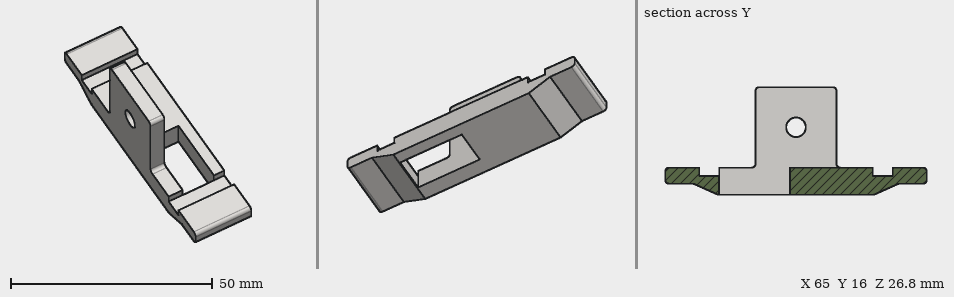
import cadquery as cq

length = 65.0
depth = 16.0
height = 26.8

plate_thickness = 4.0
keel_depth = 2.7
keel_top_width = 50.95
keel_bottom_width = 38.75
plate_top = keel_depth + plate_thickness
end_radius = 1.0

groove_width = 4.9
groove_depth = 2.1
groove_inner_x = 19.1

tab_width = 20.15
tab_thickness = 4.0
tab_corner_radius = 1.0
tab_root_radius = 1.0
hole_diameter = 4.8
hole_below_top = 10.0

window_left_x = 1.5
window_back_wall = 3.0


def make_base():
    """Plate with rounded ends, carrying the keel; front face at y = 0."""
    plate = (
        cq.Workplane("XY")
        .box(length, depth, plate_thickness, centered=(True, False, False))
        .translate((0, 0, keel_depth))
        .edges("|Y")
        .fillet(end_radius)
    )
    keel = (
        cq.Workplane("XZ")
        .moveTo(-keel_bottom_width / 2, 0)
        .lineTo(keel_bottom_width / 2, 0)
        .lineTo(keel_top_width / 2, keel_depth)
        .lineTo(-keel_top_width / 2, keel_depth)
        .close()
        .extrude(-depth)
    )
    return plate.union(keel)


def add_tab(base):
    """Upright tab with rounded top corners and small fillets at its root."""
    tab = (
        cq.Workplane("XY")
        .box(tab_width, tab_thickness, height - keel_depth, centered=(True, False, False))
        .translate((0, 0, keel_depth))
        .edges("|Y and >Z")
        .fillet(tab_corner_radius)
    )
    margin = tab_root_radius
    root_corners = cq.selectors.BoxSelector(
        (-tab_width / 2 - margin, 0, plate_top - margin),
        (tab_width / 2 + margin, tab_thickness, plate_top + margin),
    )
    return base.union(tab).edges("|Y").edges(root_corners).fillet(tab_root_radius)


def make_groove(side):
    """Cutter for one groove; side is -1 for left and 1 for right."""
    groove_center_x = side * (groove_inner_x + groove_width / 2)
    return (
        cq.Workplane("XY")
        .box(groove_width, depth, groove_depth, centered=(True, False, False))
        .translate((groove_center_x, 0, plate_top - groove_depth))
    )


def make_window():
    """Cutter between the back of the tab and the back wall."""
    window_length = groove_inner_x - window_left_x
    window_depth = depth - window_back_wall - tab_thickness
    return (
        cq.Workplane("XY")
        .box(window_length, window_depth, plate_top, centered=False)
        .translate((window_left_x, tab_thickness, 0))
    )


def make_hole():
    """Cutter for the round hole through the tab."""
    return (
        cq.Workplane("XZ")
        .center(0, height - hole_below_top)
        .circle(hole_diameter / 2)
        .extrude(-tab_thickness)
    )


result = add_tab(make_base())
for groove_side in (-1, 1):
    result = result.cut(make_groove(groove_side))
result = result.cut(make_window()).cut(make_hole())